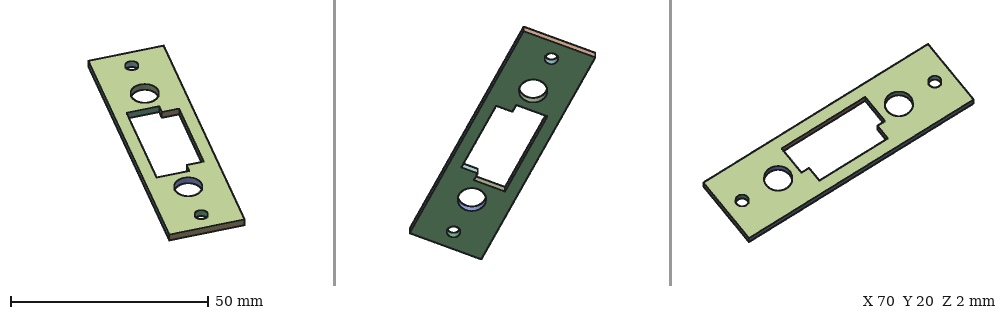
import cadquery as cq

plate_length = 70.0
plate_width = 20.0
plate_thickness = 2.0

screw_hole_diameter = 3.4
screw_hole_spacing = 60.0
large_hole_diameter = 7.2
large_hole_spacing = 37.6

window_height = 13.2
window_wide_width = 26.0
window_wide_height = 8.65
window_narrow_width = 21.3


def make_plate():
    """Flat rectangular plate resting on the XY plane."""
    return cq.Workplane("XY").box(
        plate_length, plate_width, plate_thickness, centered=(True, True, False)
    )


def make_window():
    """Solid that fills the stepped window, centred on the plate."""
    bottom = -window_height / 2
    top = window_height / 2
    step = bottom + window_wide_height
    half_wide = window_wide_width / 2
    half_narrow = window_narrow_width / 2
    outline = [
        (-half_wide, bottom),
        (half_wide, bottom),
        (half_wide, step),
        (half_narrow, step),
        (half_narrow, top),
        (-half_narrow, top),
        (-half_narrow, step),
        (-half_wide, step),
    ]
    return cq.Workplane("XY").polyline(outline).close().extrude(plate_thickness)


def make_hole_pair(diameter, spacing):
    """Two cylinders on the long centreline that fill a pair of through holes."""
    centres = [(-spacing / 2, 0), (spacing / 2, 0)]
    return cq.Workplane("XY").pushPoints(centres).circle(diameter / 2).extrude(plate_thickness)


result = (
    make_plate()
    .cut(make_window())
    .cut(make_hole_pair(screw_hole_diameter, screw_hole_spacing))
    .cut(make_hole_pair(large_hole_diameter, large_hole_spacing))
)